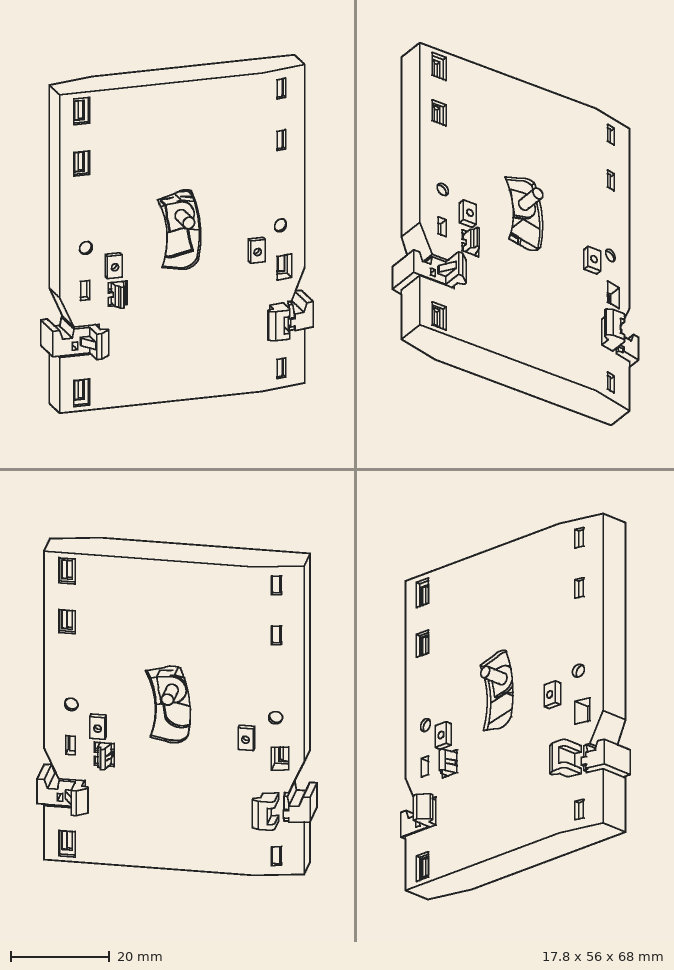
import cadquery as cq
import math

height = 68.0
half_thick = 4.5
half_width = 26.6
wall = 1.0
reach = 13.6

bevel_start = 16.6
bevel_end_x = 2.1
bevel_slope = (half_thick - bevel_end_x) / (half_width - bevel_start)

waist_top = 24.7
waist_half_width = 23.5
slot_bottom = 11.9
slot_top = 18.1
slot_mouth_y = 22.7
slot_inner_y = 18.1
channel_half_x = 1.9
cavity_floor = 25.0

window_inner_y = 20.1
small_window_outer_y = 22.1
big_window_outer_y = 23.5
step_y = 21.6
window_height = 4.1
upper_window_z = (2.1, 50.8, 61.8)
big_window_z = ((1.1, 6.65), (50.3, 55.35), (61.3, 66.8))
lower_window_z = 23.6
lower_big_window_z = (23.1, 28.15)
small_shallow_depth = 0.8
lower_shallow_depth = 2.0
small_step_depth = 0.7
big_inner_y = (20.95, 23.05)
big_inner_depth = 0.35
big_groove_depth = 1.0
wedge_frame_depth = 3.4
wedge_depth = 1.35

pivot_y = 20.95
pivot_z = 34.7
pivot_hole_radius = 1.35
pivot_hole_depth = 0.8
pivot_dome_height = 0.55
oval_radius = 3.6
oval_bottom = 27.9
oval_top = 44.8
lobe_top = (5.65, 43.3)
lobe_bottom = (4.7, 28.75)
swing_inner_radius = pivot_y - oval_radius
swing_outer_radius = pivot_y + oval_radius

pad_y = (13.75, 16.85)
pad_z = (28.15, 32.9)
pad_height = 1.4
pad_hole_y = 15.2
pad_hole_z = 30.4
pad_hole_diameter = 1.5

snap_recess_y = (12.1, 16.2)
snap_recess_z = (21.7, 26.7)
snap_z = (21.95, 26.45)
snap_tip_x = -7.3
snap_rib_z = (23.6, 24.55)

hook_root_x = -3.0
hook_back_x = -8.3
hook_front_y = -18.4
hook_back_y = -21.55
hook_round = 0.95
hook_gap_y = -20.1
hook_gap_z = (13.1, 16.65)

latch_z = (12.2, 17.6)
latch_face_x = -4.35
latch_end_y = 28.0
latch_inner_y = 18.4
latch_lip = 1.5
latch_step_y = 23.8
latch_step_depth = 0.55
tab_z = (13.1, 14.75)
claw_x = -8.9
claw_y = 20.1
notch_floor = 15.7
gusset_z = (14.1, notch_floor)

pin_y = 0.35
pin_z = 39.1
pin_radius = 1.2
pin_end = 8.8
pin_dome = 0.3
arm_half_x = 2.7
arm_half_height = 3.0
arm_end_y = 16.3
arm_drop = arm_end_y * (pin_z - pivot_z) / pivot_y
boss_radius = 2.85
boss_half_x = 3.4
shoulder_top = (3.55, 41.7)
shoulder_bottom = (2.6, 35.8)


def bevel_x(y):
    """Distance of the sloping wall from the mid-plane at a distance y from the centre."""
    return half_thick - bevel_slope * (y - bevel_start)


def block(x, y, z):
    """Box between the pairs of limits x, y and z."""
    return cq.Workplane("XY").box(
        x[1] - x[0], y[1] - y[0], z[1] - z[0], centered=False
    ).translate((x[0], y[0], z[0]))


def plan(points, z):
    """Prism with an XY outline between two heights."""
    return cq.Workplane("XY").workplane(offset=z[0]).polyline(points).close().extrude(z[1] - z[0])


def half_turn(shape):
    return shape.rotate((0, 0, 0), (0, 0, 1), 180)


def domed_pin(x_base, x_shoulder, x_tip, radius, y, z):
    """Round pin that points along -X and ends in a shallow spherical dome."""
    dome = x_shoulder - x_tip
    sphere_radius = (radius**2 + dome**2) / (2 * dome)
    middle_radius = radius / 2
    middle_x = x_tip + sphere_radius - math.sqrt(sphere_radius**2 - middle_radius**2)
    return (
        cq.Workplane("XY")
        .moveTo(x_base, 0)
        .lineTo(x_base, radius)
        .lineTo(x_shoulder, radius)
        .threePointArc((middle_x, middle_radius), (x_tip, 0))
        .close()
        .revolve(360, (0, 0, 0), (1, 0, 0))
        .translate((0, y, z))
    )


def shell():
    outline = [
        (-half_thick, -bevel_start),
        (-bevel_end_x, -half_width),
        (half_thick, -half_width),
        (half_thick, bevel_start),
        (bevel_end_x, half_width),
        (-half_thick, half_width),
    ]
    body = plan(outline, (0, height))
    for side in (1, -1):
        waist = (
            cq.Workplane("YZ")
            .polyline(
                [
                    (side * half_width, waist_top),
                    (side * waist_half_width, slot_top),
                    (side * waist_half_width, slot_bottom),
                    (side * half_width, slot_bottom),
                ]
            )
            .close()
            .extrude(reach, both=True)
        )
        body = body.cut(waist)
    inner_x = half_thick - wall
    cavity = block((-inner_x, inner_x), (-bevel_start, bevel_start), (cavity_floor, height - wall))
    channel = block(
        (-channel_half_x, channel_half_x), (-half_width, half_width), (slot_bottom, slot_top)
    )
    return body.cut(cavity).cut(channel)


def latch_slot():
    slot_z = (slot_bottom, slot_top)
    mouth = block((-reach, reach), (slot_mouth_y, half_width), slot_z)
    throat = block((-reach, channel_half_x), (slot_inner_y, slot_mouth_y), slot_z)
    return mouth.union(throat)


def small_window(floor_x, side, z_bottom):
    """Window with a shallow floor near the centre and a deeper strip outside it."""
    z = (z_bottom, z_bottom + window_height)
    shallow_y = sorted((side * window_inner_y, side * step_y))
    deep_y = sorted((side * step_y, side * small_window_outer_y))
    shallow = block((-reach, floor_x), shallow_y, z)
    deep = block((-reach, floor_x + small_step_depth), deep_y, z)
    return shallow.union(deep)


def big_window(z, inner_z_bottom):
    """Window in the flat wall with a smaller stepped recess in its floor."""
    floor_x = wall - half_thick
    inner_z = (inner_z_bottom, inner_z_bottom + window_height)
    frame = block((-reach, floor_x), (window_inner_y, big_window_outer_y), z)
    recess = block((-reach, floor_x + big_inner_depth), big_inner_y, inner_z)
    groove = block(
        (-reach, floor_x + big_groove_depth), (big_inner_y[0], small_window_outer_y), inner_z
    )
    return frame.union(recess).union(groove)


def wedge_window():
    """Lower window in the sloping wall with a ramp inside it."""
    floor_x = wedge_frame_depth - bevel_x(step_y)
    frame = block(
        (-reach, floor_x), (-big_window_outer_y, -window_inner_y), lower_big_window_z
    )
    ramp = plan(
        [
            (floor_x, -small_window_outer_y),
            (floor_x + wedge_depth, -big_inner_y[0]),
            (floor_x, -big_inner_y[0]),
        ],
        (lower_window_z, lower_window_z + window_height),
    )
    recess = block(
        (-reach, floor_x + big_inner_depth),
        (-big_inner_y[1], -big_inner_y[0]),
        (lower_window_z, lower_window_z + window_height),
    )
    return frame.union(recess).union(ramp)


def pivot_hole(side, face_x):
    """Round hole whose floor rises in a dome."""
    floor_x = face_x + pivot_hole_depth
    hole = (
        cq.Workplane("YZ", origin=(floor_x, side * pivot_y, pivot_z))
        .circle(pivot_hole_radius)
        .extrude(-reach)
    )
    dome = domed_pin(
        floor_x + wall, floor_x, floor_x - pivot_dome_height,
        pivot_hole_radius, side * pivot_y, pivot_z,
    )
    return hole.cut(dome)


def swing_opening():
    """Opening through the -X wall: an oval joined to the lobe swept about the pivot."""
    start = cq.Workplane("YZ", origin=(-half_thick - wall, 0, 0))
    depth = 2.5 * wall
    lower_z = oval_bottom + oval_radius
    upper_z = oval_top - oval_radius
    oval = (
        start.center(0, (lower_z + upper_z) / 2)
        .slot2D(oval_top - oval_bottom, 2 * oval_radius, 90)
        .extrude(depth)
    )
    reach_disc = start.center(pivot_y, pivot_z).circle(swing_outer_radius).extrude(depth)
    lobe = (
        start.moveTo(0, oval_bottom)
        .lineTo(0, oval_top)
        .lineTo(*lobe_top)
        .threePointArc((pivot_y - swing_inner_radius, pivot_z), lobe_bottom)
        .close()
        .extrude(depth)
    )
    return oval.intersect(reach_disc).union(lobe)


def pad(side):
    y = sorted((side * pad_y[0], side * pad_y[1]))
    body = block((-half_thick - pad_height, -half_thick + wall / 2), y, pad_z)
    hole = (
        cq.Workplane("YZ", origin=(-half_thick, side * pad_hole_y, pad_hole_z))
        .circle(pad_hole_diameter / 2)
        .extrude(-reach)
    )
    return body.cut(hole)


def snap_tongue():
    root_x = -half_thick + wall
    tongue = (
        cq.Workplane("XY")
        .workplane(offset=snap_z[0])
        .moveTo(root_x, 12.85)
        .lineTo(-half_thick, 12.9)
        .lineTo(-6.45, 13.5)
        .threePointArc((-7.1, 13.75), (snap_tip_x, 14.4))
        .lineTo(-6.25, 14.55)
        .lineTo(-6.0, 15.15)
        .lineTo(root_x, 15.15)
        .close()
        .extrude(snap_z[1] - snap_z[0])
    )
    rib = plan(
        [
            (root_x, 12.6),
            (-half_thick, 12.6),
            (-6.45, 13.5),
            (-half_thick, 15.15),
            (-half_thick, snap_recess_y[1]),
            (root_x, snap_recess_y[1]),
        ],
        snap_rib_z,
    )
    return tongue.union(rib)


def fixed_hook():
    body = plan(
        [
            (hook_root_x, hook_front_y),
            (-6.25, hook_front_y),
            (-7.1, -17.0),
            (-7.7, -17.0),
            (hook_back_x, -18.3),
            (hook_back_x, hook_back_y),
            (hook_root_x, hook_back_y),
        ],
        (slot_bottom, slot_top),
    )
    back_corner = body.edges("<(1, 1, 0)")
    gap = plan(
        [
            (-reach, hook_back_y),
            (-reach, hook_gap_y),
            (-bevel_x(-hook_gap_y), hook_gap_y),
            (-bevel_x(-hook_back_y), hook_back_y),
        ],
        hook_gap_z,
    )
    return back_corner.fillet(hook_round).cut(gap)


def make_housing():
    cuts = [
        latch_slot(),
        small_window(lower_shallow_depth - half_thick, 1, lower_window_z),
        wedge_window(),
        pivot_hole(1, -half_thick),
        pivot_hole(-1, -bevel_x(pivot_y)),
        swing_opening(),
        block((-reach, wall - half_thick), snap_recess_y, snap_recess_z),
    ]
    for z_bottom, big_z in zip(upper_window_z, big_window_z):
        cuts.append(small_window(small_shallow_depth - bevel_x(step_y), -1, z_bottom))
        cuts.append(big_window(big_z, z_bottom))
    additions = [pad(1), pad(-1), snap_tongue(), fixed_hook()]

    housing = shell()
    for cut in cuts:
        housing = housing.cut(cut).cut(half_turn(cut))
    for addition in additions:
        housing = housing.union(addition).union(half_turn(addition))
    return housing


def make_latch():
    lip_inner_x = bevel_x(slot_mouth_y) + latch_lip
    lip_outer_x = bevel_x(latch_end_y) + latch_lip
    body = plan(
        [
            (latch_face_x, latch_inner_y),
            (latch_face_x, latch_end_y),
            (lip_outer_x, latch_end_y),
            (lip_inner_x, slot_mouth_y),
            (channel_half_x, slot_mouth_y),
            (channel_half_x, latch_inner_y),
        ],
        latch_z,
    )
    claw = plan(
        [
            (latch_face_x, claw_y),
            (claw_x, claw_y),
            (claw_x, 19.1),
            (-7.15, 17.0),
            (-6.5, 17.0),
            (-6.05, latch_inner_y),
            (latch_face_x, latch_inner_y),
        ],
        latch_z,
    )
    gusset = plan(
        [(latch_face_x, 22.1), (-4.95, 22.1), (-8.15, claw_y), (latch_face_x, claw_y)],
        gusset_z,
    )
    notch = (
        cq.Workplane("YZ")
        .polyline(
            [
                (26.5, latch_z[1]),
                (25.85, notch_floor),
                (latch_step_y, notch_floor),
                (23.45, latch_z[1]),
            ]
        )
        .close()
        .extrude(reach, both=True)
    )
    body = body.cut(notch).union(claw).union(gusset)

    tab_y = (slot_mouth_y, latch_step_y)
    step_x = bevel_x(latch_step_y) + latch_lip - latch_step_depth
    for z in ((latch_z[0], tab_z[0]), (tab_z[1], latch_z[1])):
        body = body.cut(block((step_x, reach), tab_y, z))
    window = plan(
        [
            (latch_face_x, tab_y[0]),
            (bevel_x(tab_y[0]), tab_y[0]),
            (bevel_x(tab_y[1]), tab_y[1]),
            (latch_face_x, tab_y[1]),
        ],
        tab_z,
    )
    return body.cut(window)


def make_rocker():
    arm_end_z = pin_z - arm_drop
    outline = [
        (-arm_end_y, arm_end_z + arm_half_height),
        (0, pin_z + arm_half_height),
        (arm_end_y, arm_end_z + arm_half_height),
        (arm_end_y, arm_end_z - arm_half_height),
        (0, pin_z - arm_half_height),
        (-arm_end_y, arm_end_z - arm_half_height),
    ]
    rocker = cq.Workplane("YZ").polyline(outline).close().extrude(arm_half_x, both=True)
    boss = (
        cq.Workplane("YZ")
        .center(pin_y, pin_z)
        .circle(boss_radius)
        .extrude(-boss_half_x)
    )
    shoulder = (
        cq.Workplane("YZ")
        .polyline(
            [
                (pin_y, pin_z + boss_radius),
                shoulder_top,
                shoulder_bottom,
                (pin_y, pin_z - boss_radius),
            ]
        )
        .close()
        .extrude(-boss_half_x)
    )
    pin = domed_pin(0, pin_dome - pin_end, -pin_end, pin_radius, pin_y, pin_z)
    for part in (boss.union(shoulder), pin):
        rocker = rocker.union(part).union(half_turn(part))
    return rocker


housing = make_housing()
rocker = make_rocker()
first_latch = make_latch()
latches = [first_latch, half_turn(first_latch)]

result = cq.Compound.makeCompound(
    [housing.val(), rocker.val(), *[latch.val() for latch in latches]]
)